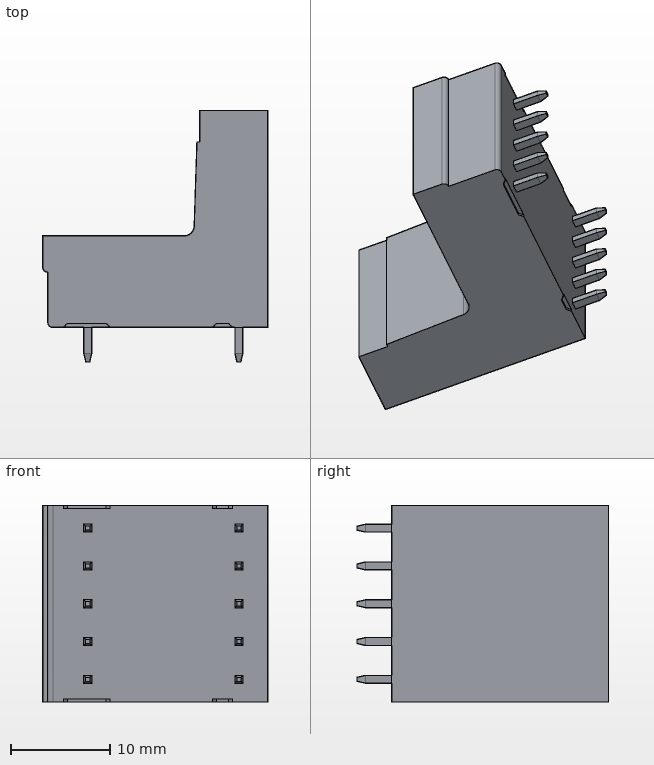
import cadquery as cq
import math

LENGTH = 22.7
HEIGHT = 19.85
TOTAL_DEPTH = 25.4
PIN_LENGTH = 3.5
DEPTH = TOTAL_DEPTH - PIN_LENGTH
BASE_DEPTH = 9.25

LIP_OVERHANG = 0.5
LIP_FRONT = 5.55
EDGE_RADIUS = 0.5

UPRIGHT_TOP_X = 15.82
LEDGE_X = 15.55
LEDGE_Y = 18.72
UPRIGHT_ROOT_X = 15.25
ROOT_RADIUS = 1.0

NOTCH_DEPTH_Y = 0.4
NOTCH_DEPTH_Z = 0.3
NOTCH_SPANS = [(2.08, 6.8), (17.12, 19.15)]

PIN_WIDTH = 0.81
PIN_TIP_WIDTH = 0.4
PIN_TIP_LENGTH = 0.86
PIN_ROW_SPACING = 15.25
PIN_FIRST_ROW_X = 4.55
PIN_PITCH = 3.8
PINS_PER_ROW = 5


def make_housing():
    """L-shaped body with the lip, rounds and sloping inner face."""
    arc_offset = EDGE_RADIUS * math.sqrt(0.5)
    front_round_x = LIP_OVERHANG + EDGE_RADIUS
    profile = (
        cq.Workplane("XY")
        .moveTo(front_round_x, 0)
        .lineTo(LENGTH, 0)
        .lineTo(LENGTH, DEPTH)
        .lineTo(UPRIGHT_TOP_X, DEPTH)
        .lineTo(UPRIGHT_TOP_X, LEDGE_Y)
        .lineTo(LEDGE_X, LEDGE_Y)
        .lineTo(UPRIGHT_ROOT_X, BASE_DEPTH)
        .lineTo(0, BASE_DEPTH)
        .lineTo(0, LIP_FRONT + EDGE_RADIUS)
        .threePointArc(
            (EDGE_RADIUS - arc_offset, LIP_FRONT + EDGE_RADIUS - arc_offset),
            (LIP_OVERHANG, LIP_FRONT),
        )
        .lineTo(LIP_OVERHANG, EDGE_RADIUS)
        .threePointArc(
            (front_round_x - arc_offset, EDGE_RADIUS - arc_offset),
            (front_round_x, 0),
        )
        .close()
    )
    body = profile.extrude(HEIGHT / 2, both=True)
    root_edge = cq.selectors.NearestToPointSelector((UPRIGHT_ROOT_X, BASE_DEPTH, 0))
    return body.edges(root_edge).fillet(ROOT_RADIUS)


def make_notch(x_start, x_end, z_bottom):
    """Trapezoidal cutter with 45 degree ends."""
    return (
        cq.Workplane("XY", origin=(0, 0, z_bottom))
        .polyline([
            (x_start, 0),
            (x_end, 0),
            (x_end - NOTCH_DEPTH_Y, NOTCH_DEPTH_Y),
            (x_start + NOTCH_DEPTH_Y, NOTCH_DEPTH_Y),
        ])
        .close()
        .extrude(NOTCH_DEPTH_Z)
    )


def make_pin(x, z):
    """Square pin pointing to -Y with a tapered tip."""
    shank_length = PIN_LENGTH - PIN_TIP_LENGTH
    shank = (
        cq.Workplane("XZ", origin=(x, 0, z))
        .rect(PIN_WIDTH, PIN_WIDTH)
        .extrude(shank_length)
    )
    tip = (
        cq.Workplane("XZ", origin=(x, -shank_length, z))
        .rect(PIN_WIDTH, PIN_WIDTH)
        .workplane(offset=PIN_TIP_LENGTH)
        .rect(PIN_TIP_WIDTH, PIN_TIP_WIDTH)
        .loft(ruled=True)
    )
    return shank.union(tip)


result = make_housing()

for notch_start, notch_end in NOTCH_SPANS:
    for notch_bottom in (-HEIGHT / 2, HEIGHT / 2 - NOTCH_DEPTH_Z):
        result = result.cut(make_notch(notch_start, notch_end, notch_bottom))

for row in range(2):
    for position in range(PINS_PER_ROW):
        pin_x = PIN_FIRST_ROW_X + row * PIN_ROW_SPACING
        pin_z = (position - (PINS_PER_ROW - 1) / 2) * PIN_PITCH
        result = result.union(make_pin(pin_x, pin_z))